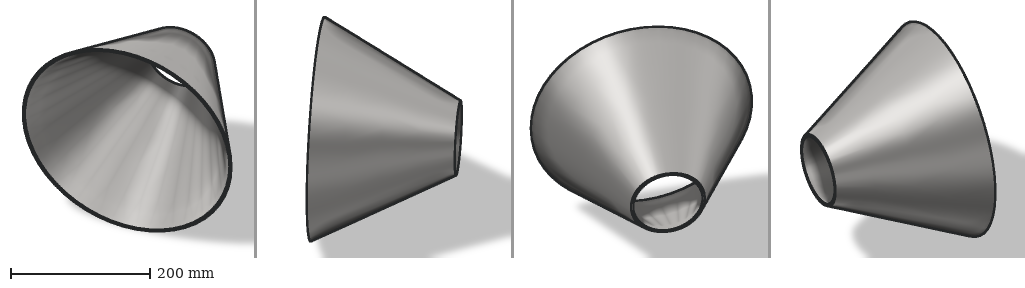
import cadquery as cq
import math

large_diameter = 324.0
small_diameter = 108.2
length = 203.0
wall_thickness = 3.0

large_radius = large_diameter / 2
small_radius = small_diameter / 2
half_angle = math.atan2(large_radius - small_radius, length)
radial_wall = wall_thickness / math.cos(half_angle)

wall_section = (
    cq.Workplane("XY")
    .moveTo(large_radius - radial_wall, 0)
    .lineTo(large_radius, 0)
    .lineTo(small_radius, length)
    .lineTo(small_radius - radial_wall, length)
    .close()
)

result = wall_section.revolve(360, (0, 0, 0), (0, 1, 0))